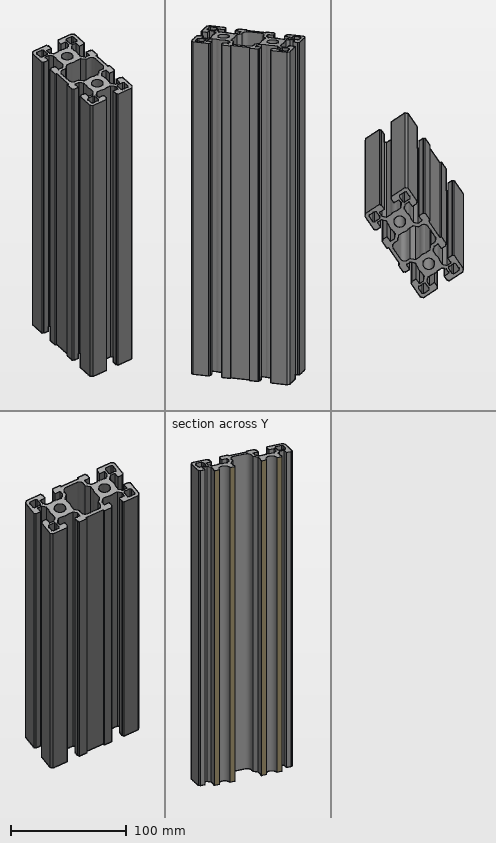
import cadquery as cq

CELL = 45.0
LENGTH = 304.8
HALF_CELL = CELL / 2
LEFT_CELL = -HALF_CELL
RIGHT_CELL = HALF_CELL
OUTER_CHAMFER = 2.0

LIP_HALF_GAP = 5.0
REBATE_FLOOR_HALF_GAP = 5.5
REBATE_MOUTH_HALF_GAP = 6.0
REBATE_DEPTH = 1.5
LIP_THICKNESS = 6.0
SLOT_HALF_WIDTH = 10.1
WEB_OFFSET = 2.25

CORE_HALF_WIDTH = 9.5
CROWN_HALF_WIDTH = 3.0
CROWN_HEIGHT = 0.5
BORE_DIAMETER = 10.0

CHANNEL_SIDE = 7.5
CHANNEL_CENTRE = 15.7
CHANNEL_CHAMFER = 1.0

CHAMBER_HALF_WIDTH = 9.55
CHAMBER_HALF_DEPTH = 17.9
CHAMBER_FILLET = 4.0
CHAMBER_WEB_OFFSET = 2.0

RECESS_HALF_WIDTH = 8.7
RECESS_DEPTH = 1.5

FACE_ANGLES = {"front": 0, "right": 90, "back": 180, "left": 270}


def extruded(outline):
    """Close an XY outline and extrude it over the full bar length."""
    return outline.close().extrude(LENGTH)


def slot_cutter():
    """T-slot opening toward -Y, for a cell centred on the Z axis."""
    under_lip = HALF_CELL - LIP_THICKNESS
    web_end = SLOT_HALF_WIDTH + WEB_OFFSET
    floor_end = CORE_HALF_WIDTH - WEB_OFFSET
    rebate_floor = HALF_CELL - REBATE_DEPTH
    outline = (
        cq.Workplane("XY")
        .moveTo(-REBATE_MOUTH_HALF_GAP, -HALF_CELL)
        .lineTo(-REBATE_FLOOR_HALF_GAP, -rebate_floor)
        .lineTo(-LIP_HALF_GAP, -rebate_floor)
        .lineTo(-LIP_HALF_GAP, -under_lip)
        .lineTo(-SLOT_HALF_WIDTH, -under_lip)
        .lineTo(-SLOT_HALF_WIDTH, -web_end)
        .lineTo(-floor_end, -CORE_HALF_WIDTH)
        .lineTo(-CROWN_HALF_WIDTH, -CORE_HALF_WIDTH)
        .threePointArc(
            (0, -CORE_HALF_WIDTH - CROWN_HEIGHT),
            (CROWN_HALF_WIDTH, -CORE_HALF_WIDTH),
        )
        .lineTo(floor_end, -CORE_HALF_WIDTH)
        .lineTo(SLOT_HALF_WIDTH, -web_end)
        .lineTo(SLOT_HALF_WIDTH, -under_lip)
        .lineTo(LIP_HALF_GAP, -under_lip)
        .lineTo(LIP_HALF_GAP, -rebate_floor)
        .lineTo(REBATE_FLOOR_HALF_GAP, -rebate_floor)
        .lineTo(REBATE_MOUTH_HALF_GAP, -HALF_CELL)
    )
    return extruded(outline)


def cell_slot(centre_x, face):
    """T-slot in one face of the cell centred at centre_x."""
    turned = slot_cutter().rotate((0, 0, 0), (0, 0, 1), FACE_ANGLES[face])
    return turned.translate((centre_x, 0, 0))


def chamber_cutter():
    """Chamber bounded by the two wide walls, the inner webs and the crowned inner core faces."""
    core_x = HALF_CELL - CORE_HALF_WIDTH
    crown_x = core_x - CROWN_HEIGHT
    core_end = CORE_HALF_WIDTH - CHAMBER_WEB_OFFSET
    wall_end = HALF_CELL - CHAMBER_HALF_WIDTH - CHAMBER_WEB_OFFSET
    box = (
        cq.Workplane("XY")
        .rect(2 * CHAMBER_HALF_WIDTH, 2 * CHAMBER_HALF_DEPTH)
        .extrude(LENGTH)
        .edges("|Z")
        .fillet(CHAMBER_FILLET)
    )
    waist = (
        cq.Workplane("XY")
        .moveTo(-CHAMBER_HALF_WIDTH, wall_end)
        .lineTo(-core_x, core_end)
        .lineTo(-core_x, CROWN_HALF_WIDTH)
        .threePointArc((-crown_x, 0), (-core_x, -CROWN_HALF_WIDTH))
        .lineTo(-core_x, -core_end)
        .lineTo(-CHAMBER_HALF_WIDTH, -wall_end)
        .lineTo(CHAMBER_HALF_WIDTH, -wall_end)
        .lineTo(core_x, -core_end)
        .lineTo(core_x, -CROWN_HALF_WIDTH)
        .threePointArc((crown_x, 0), (core_x, CROWN_HALF_WIDTH))
        .lineTo(core_x, core_end)
        .lineTo(CHAMBER_HALF_WIDTH, wall_end)
    )
    return box.union(extruded(waist))


def corner_channels():
    """Chamfered square channels in the four outer corners of the profile."""
    x = HALF_CELL + CHANNEL_CENTRE
    y = CHANNEL_CENTRE
    return (
        cq.Workplane("XY")
        .pushPoints([(-x, -y), (x, -y), (x, y), (-x, y)])
        .rect(CHANNEL_SIDE, CHANNEL_SIDE)
        .extrude(LENGTH)
        .edges("|Z")
        .chamfer(CHANNEL_CHAMFER)
    )


def face_recesses():
    """Shallow recesses along the middle of the two wide faces."""
    return (
        cq.Workplane("XY")
        .pushPoints([(0, -HALF_CELL), (0, HALF_CELL)])
        .rect(2 * RECESS_HALF_WIDTH, 2 * RECESS_DEPTH)
        .extrude(LENGTH)
    )


def core_bores():
    """Round through bores in the centres of the two cores."""
    return (
        cq.Workplane("XY")
        .pushPoints([(LEFT_CELL, 0), (RIGHT_CELL, 0)])
        .circle(BORE_DIAMETER / 2)
        .extrude(LENGTH)
    )


def bar():
    """Solid bar with chamfered long edges."""
    return cq.Workplane("XY").rect(2 * CELL, CELL).extrude(LENGTH).edges("|Z").chamfer(OUTER_CHAMFER)


SLOTS = (
    (LEFT_CELL, "front"),
    (LEFT_CELL, "back"),
    (LEFT_CELL, "left"),
    (RIGHT_CELL, "front"),
    (RIGHT_CELL, "back"),
    (RIGHT_CELL, "right"),
)

result = bar().cut(corner_channels()).cut(chamber_cutter()).cut(face_recesses()).cut(core_bores())
for slot_centre, slotted_face in SLOTS:
    result = result.cut(cell_slot(slot_centre, slotted_face))